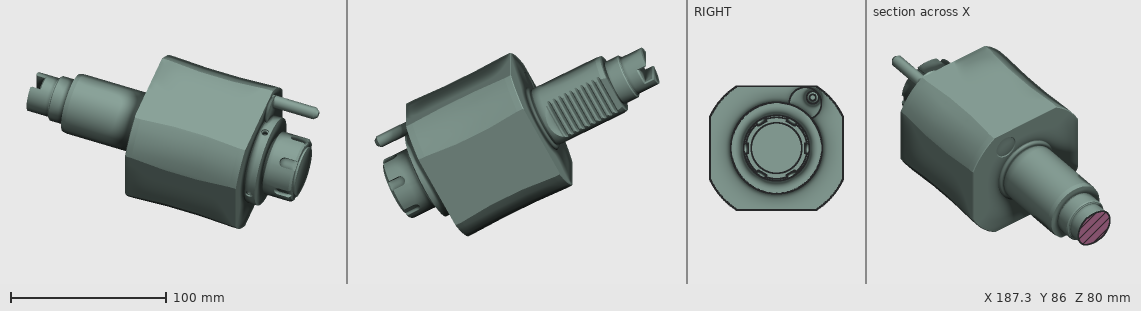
import cadquery as cq
import math

SLACK = 1.0

OVERALL_LENGTH = 187.34

BODY_LENGTH = 76.3
BODY_WIDTH = 86.0
BODY_HEIGHT = 80.0
CORNER_RADIUS = 47.5
WAIST_RADIUS = 46.4
LAND_LENGTH = 4.5
BODY_CHAMFER = 0.5
PLUG_RADIUS = 7.75
PLUG_DEPTH = 0.5
PLUG_WALL_TAPER = 45.0
PLUG_DISTANCE = 32.0
PLUG_ANGLE = 60.0

COLLAR_RADIUS = 22.3
COLLAR_LENGTH = 1.9
SHANK_RADIUS = 20.0
SHANK_LENGTH = 52.7
SHANK_TAPER_LENGTH = 3.0
SHANK_TAPER_DROP = 0.5
ROOT_TAPER_LENGTH = 1.4
ROOT_RADIUS = 19.5
TOOTH_TIP_LEVEL = -16.0
TOOTH_DEPTH = 1.6
TOOTH_PITCH = 4.0
TOOTH_COUNT = 10
TOOTH_FLANK_ANGLE = 30.0
TOOTH_ROOT_WIDTH = 1.2
LAST_ROOT_X = -11.6
FLAT_END_X = -9.2

DRIVE_RADIUS = 13.0
DRIVE_LENGTH = 78.9
BEARING_RADIUS = 15.0
BEARING_START = 53.2
BEARING_END = 63.5
BEARING_NECK_RADIUS = 14.4
BEARING_CHAMFER = 0.6
DRIVE_SLOT_WIDTH = 9.4
DRIVE_SLOT_DEPTH = 6.0
DRIVE_SLOT_CHAMFER = 0.9
DRIVE_STEP_RADIUS = 13.7
DRIVE_STEP_WIDTH = 0.6

FLANGE_RADIUS = 29.5
FLANGE_GAP = 1.1
FLANGE_LENGTH = 6.8
FLANGE_STEP_RADIUS = 29.0
SCREW_HOLE_RADIUS = 2.6
SCREW_HOLE_DEPTH = 1.2
SOCKET_RADIUS = 1.8
SOCKET_DEPTH = 3.0
SCREW_HOLE_X = BODY_LENGTH + 4.1

NUT_NECK_RADIUS = 16.6
NUT_START = BODY_LENGTH + 10.0
NUT_END = BODY_LENGTH + 30.4
NUT_RADIUS = 21.1
NUT_BACK_CHAMFER = 0.6
NUT_FRONT_CHAMFER = 1.3
NUT_SHOULDER = 1.2
NUT_FACE_RADIUS = 16.3
NUT_SLOT_COUNT = 6
NUT_SLOT_WIDTH = 6.4
NUT_SLOT_LENGTH = 12.3
NUT_SLOT_FLOOR = 18.3

PIN_RADIUS = 4.0
PIN_Y = 23.4
PIN_Z = 32.6
PIN_END = OVERALL_LENGTH - DRIVE_LENGTH
PIN_TIP_RADIUS = 2.0
PIN_TAPER_LENGTH = 2.4
SEAT_Y = 18.6
SEAT_Z = 28.8
SEAT_BASE_RADIUS = 8.7
SEAT_RIM_RADIUS = 10.4
SEAT_LENGTH = 2.2


def revolve_about_x(points):
    """Solid of revolution about X from an (x, radius) outline closed along the axis."""
    outline = [(points[0][0], 0)] + points + [(points[-1][0], 0)]
    return cq.Workplane("XY").polyline(outline).close().revolve(360, (0, 0, 0), (1, 0, 0))


def cylinder_x(radius, start, length):
    """Cylinder on the spindle axis, running in +X from start."""
    return cq.Workplane("YZ", origin=(start, 0, 0)).circle(radius).extrude(length)


def make_body():
    """Flat-sided block whose four rounded corners are slightly waisted."""
    land_end = BODY_LENGTH - LAND_LENGTH
    edge_radius = CORNER_RADIUS - BODY_CHAMFER
    barrel = (
        cq.Workplane("XY")
        .moveTo(0, 0)
        .lineTo(0, edge_radius)
        .lineTo(BODY_CHAMFER, CORNER_RADIUS)
        .lineTo(LAND_LENGTH, CORNER_RADIUS)
        .threePointArc((BODY_LENGTH / 2, WAIST_RADIUS), (land_end, CORNER_RADIUS))
        .lineTo(BODY_LENGTH, CORNER_RADIUS)
        .lineTo(BODY_LENGTH, 0)
        .close()
        .revolve(360, (0, 0, 0), (1, 0, 0))
    )
    block = (
        cq.Workplane("YZ")
        .rect(BODY_WIDTH, BODY_HEIGHT)
        .extrude(BODY_LENGTH)
        .faces("<X")
        .edges("|Z")
        .chamfer(BODY_CHAMFER)
    )
    plug_y = PLUG_DISTANCE * math.cos(math.radians(PLUG_ANGLE))
    plug_z = PLUG_DISTANCE * math.sin(math.radians(PLUG_ANGLE))
    plug_recess = (
        cq.Workplane("YZ", origin=(0, plug_y, plug_z))
        .circle(PLUG_RADIUS)
        .extrude(PLUG_DEPTH, taper=PLUG_WALL_TAPER)
    )
    return block.intersect(barrel).cut(plug_recess)


def make_shank():
    """Clamping shank with a toothed flat along its underside."""
    shank = revolve_about_x([
        (-SHANK_LENGTH, SHANK_RADIUS - SHANK_TAPER_DROP),
        (-SHANK_LENGTH + SHANK_TAPER_LENGTH, SHANK_RADIUS),
        (-COLLAR_LENGTH - ROOT_TAPER_LENGTH, SHANK_RADIUS),
        (-COLLAR_LENGTH, ROOT_RADIUS),
        (SLACK, ROOT_RADIUS),
    ])

    ramp = SHANK_RADIUS + SLACK + TOOTH_TIP_LEVEL
    flat = (
        cq.Workplane("XZ")
        .polyline([
            (-SHANK_LENGTH - SLACK, TOOTH_TIP_LEVEL),
            (FLAT_END_X, TOOTH_TIP_LEVEL),
            (FLAT_END_X + ramp, TOOTH_TIP_LEVEL - ramp),
            (-SHANK_LENGTH - SLACK, TOOTH_TIP_LEVEL - ramp),
        ])
        .close()
        .extrude(SHANK_RADIUS, both=True)
    )
    shank = shank.cut(flat)

    half_root = TOOTH_ROOT_WIDTH / 2
    half_mouth = half_root + (TOOTH_DEPTH + SLACK) * math.tan(math.radians(TOOTH_FLANK_ANGLE))
    root_level = TOOTH_TIP_LEVEL + TOOTH_DEPTH
    for index in range(TOOTH_COUNT):
        root_x = LAST_ROOT_X - index * TOOTH_PITCH
        groove = (
            cq.Workplane("XZ")
            .polyline([
                (root_x - half_root, root_level),
                (root_x + half_root, root_level),
                (root_x + half_mouth, TOOTH_TIP_LEVEL - SLACK),
                (root_x - half_mouth, TOOTH_TIP_LEVEL - SLACK),
            ])
            .close()
            .extrude(SHANK_RADIUS, both=True)
        )
        shank = shank.cut(groove)

    collar = cylinder_x(COLLAR_RADIUS, -COLLAR_LENGTH, COLLAR_LENGTH + SLACK)
    return shank.union(collar.faces("<X").edges().fillet(COLLAR_LENGTH))


def make_drive_end():
    """Stepped drive spindle with a chamfered cross slot in its tip."""
    spindle = revolve_about_x([
        (-DRIVE_LENGTH, DRIVE_RADIUS),
        (-BEARING_END - DRIVE_STEP_WIDTH, DRIVE_RADIUS),
        (-BEARING_END - DRIVE_STEP_WIDTH, DRIVE_STEP_RADIUS),
        (-BEARING_END, DRIVE_STEP_RADIUS),
        (-BEARING_END, BEARING_RADIUS - BEARING_CHAMFER),
        (-BEARING_END + BEARING_CHAMFER, BEARING_RADIUS),
        (-BEARING_START - BEARING_CHAMFER, BEARING_RADIUS),
        (-BEARING_START, BEARING_NECK_RADIUS),
        (-SHANK_LENGTH + SLACK, BEARING_NECK_RADIUS),
    ])
    slot = (
        cq.Workplane("XY")
        .box(2 * DRIVE_SLOT_DEPTH, DRIVE_SLOT_WIDTH, 2 * DRIVE_RADIUS + SLACK)
        .translate((-DRIVE_LENGTH, 0, 0))
    )
    spindle = spindle.cut(slot)

    before_tip = -DRIVE_LENGTH - SLACK
    past_tip = -DRIVE_LENGTH + SLACK
    past_floor = -DRIVE_LENGTH + DRIVE_SLOT_DEPTH + SLACK / 2
    reach_y = (DRIVE_SLOT_WIDTH + SLACK) / 2
    reach_z = DRIVE_RADIUS + SLACK
    slot_edges = cq.selectors.BoxSelector((before_tip, -reach_y, -SLACK), (past_tip, reach_y, SLACK))
    for side in (1, -1):
        slot_edges += cq.selectors.BoxSelector(
            (before_tip, -reach_y, side * SLACK),
            (past_floor, reach_y, side * reach_z),
        )
    return spindle.edges(slot_edges).chamfer(DRIVE_SLOT_CHAMFER)


def make_flange():
    """Round flange with two radial set-screw holes."""
    flange = cylinder_x(FLANGE_STEP_RADIUS, BODY_LENGTH - SLACK, SLACK + FLANGE_GAP)
    flange = flange.union(cylinder_x(FLANGE_RADIUS, BODY_LENGTH + FLANGE_GAP, FLANGE_LENGTH))
    bore_floor = FLANGE_RADIUS - SCREW_HOLE_DEPTH
    socket_floor = bore_floor - SOCKET_DEPTH
    for angle in (0, 90):
        screw_hole = (
            cq.Workplane("XY", origin=(SCREW_HOLE_X, 0, socket_floor))
            .circle(SOCKET_RADIUS)
            .extrude(FLANGE_RADIUS)
            .union(
                cq.Workplane("XY", origin=(SCREW_HOLE_X, 0, bore_floor))
                .circle(SCREW_HOLE_RADIUS)
                .extrude(FLANGE_RADIUS)
            )
            .rotate((0, 0, 0), (1, 0, 0), angle)
        )
        flange = flange.cut(screw_hole)
    return flange


def make_nut():
    """Collet nut on a short neck, with spanner slots open to the front."""
    shoulder_x = NUT_END - NUT_SHOULDER
    nut = revolve_about_x([
        (BODY_LENGTH, NUT_NECK_RADIUS),
        (NUT_START, NUT_NECK_RADIUS),
        (NUT_START, NUT_RADIUS - NUT_BACK_CHAMFER),
        (NUT_START + NUT_BACK_CHAMFER, NUT_RADIUS),
        (shoulder_x - NUT_FRONT_CHAMFER, NUT_RADIUS),
        (shoulder_x, NUT_RADIUS - NUT_FRONT_CHAMFER),
        (shoulder_x, NUT_FACE_RADIUS),
        (NUT_END, NUT_FACE_RADIUS),
    ])
    half_width = NUT_SLOT_WIDTH / 2
    slot_end_x = NUT_END - NUT_SLOT_LENGTH
    for index in range(NUT_SLOT_COUNT):
        slot = (
            cq.Workplane("XY", origin=(0, 0, NUT_SLOT_FLOOR))
            .moveTo(NUT_END, half_width)
            .lineTo(slot_end_x + half_width, half_width)
            .threePointArc((slot_end_x, 0), (slot_end_x + half_width, -half_width))
            .lineTo(NUT_END, -half_width)
            .close()
            .extrude(NUT_RADIUS)
            .rotate((0, 0, 0), (1, 0, 0), 90 + index * 360 / NUT_SLOT_COUNT)
        )
        nut = nut.cut(slot)
    return nut


def make_locating_pin():
    """Pin with a tapered end, standing in a flared round seat on the nut-side face."""
    pin = revolve_about_x([
        (BODY_LENGTH - SLACK, PIN_RADIUS),
        (PIN_END - PIN_TAPER_LENGTH, PIN_RADIUS),
        (PIN_END, PIN_TIP_RADIUS),
    ]).translate((0, PIN_Y, PIN_Z))
    seat = revolve_about_x([
        (BODY_LENGTH - SLACK, SEAT_BASE_RADIUS),
        (BODY_LENGTH, SEAT_BASE_RADIUS),
        (BODY_LENGTH + SEAT_LENGTH, SEAT_RIM_RADIUS),
    ]).translate((0, SEAT_Y, SEAT_Z))
    return pin.union(seat)


result = (
    make_body()
    .union(make_shank())
    .union(make_drive_end())
    .union(make_flange())
    .union(make_nut())
    .union(make_locating_pin())
)